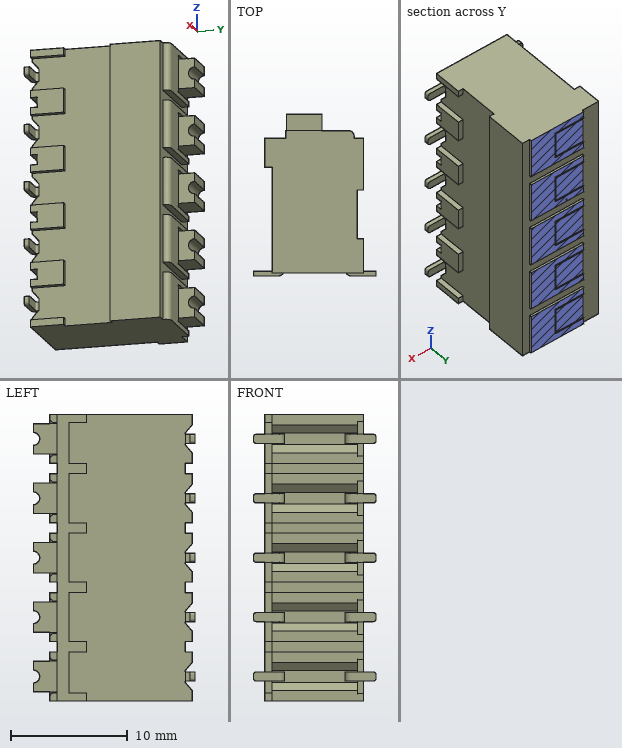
import cadquery as cq
import math


POLE_COUNT = 5
PITCH = 5.08
WEB = 0.88
POLE_HEIGHT = PITCH - WEB
BODY_HEIGHT = (POLE_COUNT - 1) * PITCH + POLE_HEIGHT

CORE_HALF_WIDTH = 3.65
LEFT_FLANGE_X = -4.28
RIGHT_FLANGE_X = 4.17
SHOULDER_Y = 11.56
LEFT_BAND_Y = 10.53
LEFT_TAB_Y = 9.05
END_TAB_HEIGHT = 0.68
RIGHT_RECESS_Y = (2.95, 7.1)
WINDOW_HALF_HEIGHT = 1.47

GROOVE_DEPTH = 0.6
GROOVE_FLOOR_HALF = 0.5
GROOVE_MOUTH_HALF = 1.2

BLOCK_X = (-2.49, 3.38)
BLOCK_BACK_Y = 12.2
BLOCK_CORNER_RADIUS = 0.5
SLOT_CLEARANCE = 0.08
SLOT_FLARE = 0.25

LEVER_X = (-2.42, 0.63)
LEVER_BACK_Y = 13.6
LEVER_HALF_HEIGHT = 1.31
LEVER_NOTCH_RADIUS = 0.54

PIN_TIP_X = 5.25
PIN_FRONT_Y = -0.25
PIN_THICKNESS = 0.43
PIN_HEIGHT = 0.8
PIN_INNER_FACE_X = 2.58
PIN_BEND_RADIUS = 0.58
PIN_END_Y = 1.5
PIN_TIP_FILLET = 0.25

pole_centres = [(i - (POLE_COUNT - 1) / 2) * PITCH for i in range(POLE_COUNT)]
web_centres = [z + PITCH / 2 for z in pole_centres[:-1]]


def block(x_range, y_range, z_range):
    """Box spanning the given X, Y and Z ranges."""
    size = [high - low for low, high in (x_range, y_range, z_range)]
    corner = (x_range[0], y_range[0], z_range[0])
    return cq.Workplane("XY").box(*size, centered=False).translate(corner)


def centred_block(x_range, y_range, z, half_height):
    """Box spanning X and Y ranges, centred on height z."""
    return block(x_range, y_range, (z - half_height, z + half_height))


def yz_prism(points, x_range):
    """Prism along X of a closed outline of (y, z) points."""
    profile = cq.Workplane("YZ", origin=(x_range[0], 0, 0)).polyline(points).close()
    return profile.extrude(x_range[1] - x_range[0])


def make_housing():
    """Core with a flange on each side."""
    half_height = BODY_HEIGHT / 2
    outer = (LEFT_FLANGE_X, RIGHT_FLANGE_X)
    core = (-CORE_HALF_WIDTH, CORE_HALF_WIDTH)
    housing = centred_block((core[0], outer[1]), (0, SHOULDER_Y), 0, half_height)
    housing = housing.cut(centred_block((core[1], outer[1]), RIGHT_RECESS_Y, 0, half_height))

    left_flange = centred_block((outer[0], core[0]), (LEFT_TAB_Y, SHOULDER_Y), 0, half_height)
    inner_top = half_height - END_TAB_HEIGHT
    for z in pole_centres:
        low = max(z - POLE_HEIGHT / 2, -inner_top)
        high = min(z + POLE_HEIGHT / 2, inner_top)
        left_flange = left_flange.cut(block((outer[0], core[0]), (LEFT_TAB_Y, LEFT_BAND_Y), (low, high)))
    return housing.union(left_flange)


def make_pole_groove(z):
    """Flared front groove plus the window in the right flange for the pin."""
    groove = yz_prism(
        [
            (0, z - GROOVE_MOUTH_HALF),
            (0, z + GROOVE_MOUTH_HALF),
            (GROOVE_DEPTH, z + GROOVE_FLOOR_HALF),
            (GROOVE_DEPTH, z - GROOVE_FLOOR_HALF),
        ],
        (-CORE_HALF_WIDTH, RIGHT_FLANGE_X),
    )
    window = centred_block(
        (CORE_HALF_WIDTH, RIGHT_FLANGE_X), (0, RIGHT_RECESS_Y[0]), z, WINDOW_HALF_HEIGHT
    )
    return groove.union(window)


def make_web_groove(z):
    """Square front groove between two poles."""
    return centred_block((-CORE_HALF_WIDTH, RIGHT_FLANGE_X), (0, GROOVE_DEPTH), z, WEB / 2)


def make_rear_block(z):
    """Rear block with a rounded right corner and a flared lever slot open to the left."""
    rear = centred_block(BLOCK_X, (SHOULDER_Y, BLOCK_BACK_Y), z, POLE_HEIGHT / 2)
    rear = rear.edges("|Z and >X and >Y").fillet(BLOCK_CORNER_RADIUS)
    slot_half = LEVER_HALF_HEIGHT + SLOT_CLEARANCE
    mouth_half = slot_half + SLOT_FLARE
    flare_y = BLOCK_BACK_Y - SLOT_FLARE
    slot = yz_prism(
        [
            (SHOULDER_Y, z - slot_half),
            (flare_y, z - slot_half),
            (BLOCK_BACK_Y, z - mouth_half),
            (BLOCK_BACK_Y, z + mouth_half),
            (flare_y, z + slot_half),
            (SHOULDER_Y, z + slot_half),
        ],
        (BLOCK_X[0], LEVER_X[1] + SLOT_CLEARANCE),
    )
    return rear.cut(slot)


def make_lever(z):
    """Lever with a half-round notch across its end."""
    lever = centred_block(LEVER_X, (SHOULDER_Y, LEVER_BACK_Y), z, LEVER_HALF_HEIGHT)
    notch = (
        cq.Workplane("YZ", origin=(LEVER_X[0], LEVER_BACK_Y, z))
        .circle(LEVER_NOTCH_RADIUS)
        .extrude(LEVER_X[1] - LEVER_X[0])
    )
    return lever.cut(notch)


def make_right_pin(z):
    """L-shaped pin that leaves the groove floor and bends outward to +X."""
    foot_back_y = PIN_FRONT_Y + PIN_THICKNESS
    leg_outer_x = PIN_INNER_FACE_X + PIN_THICKNESS
    bend_x = PIN_INNER_FACE_X + PIN_BEND_RADIUS
    bend_y = PIN_FRONT_Y + PIN_BEND_RADIUS
    inner_radius = PIN_BEND_RADIUS - PIN_THICKNESS
    outer_diagonal = PIN_BEND_RADIUS * math.sqrt(0.5)
    inner_diagonal = inner_radius * math.sqrt(0.5)
    pin = (
        cq.Workplane("XY", origin=(0, 0, z - PIN_HEIGHT / 2))
        .moveTo(PIN_INNER_FACE_X, PIN_END_Y)
        .lineTo(PIN_INNER_FACE_X, bend_y)
        .threePointArc((bend_x - outer_diagonal, bend_y - outer_diagonal), (bend_x, PIN_FRONT_Y))
        .lineTo(PIN_TIP_X, PIN_FRONT_Y)
        .lineTo(PIN_TIP_X, foot_back_y)
        .lineTo(bend_x, foot_back_y)
        .threePointArc((bend_x - inner_diagonal, bend_y - inner_diagonal), (leg_outer_x, bend_y))
        .lineTo(leg_outer_x, PIN_END_Y)
        .close()
        .extrude(PIN_HEIGHT)
    )
    return pin.edges("|Y and >X").fillet(PIN_TIP_FILLET)


result = make_housing()
for centre in web_centres:
    result = result.cut(make_web_groove(centre))
for centre in pole_centres:
    right_pin = make_right_pin(centre)
    result = result.cut(make_pole_groove(centre))
    result = result.union(make_rear_block(centre))
    result = result.union(make_lever(centre))
    result = result.union(right_pin)
    result = result.union(right_pin.mirror("YZ"))